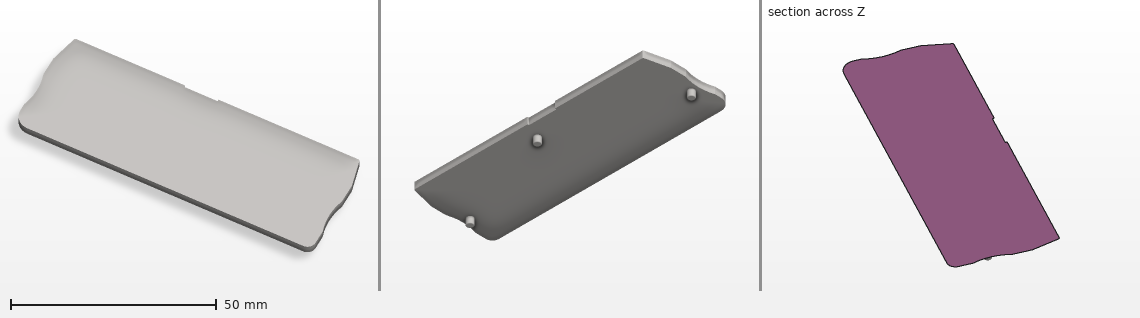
import cadquery as cq

length = 81.8
width = 29.0
total_height = 4.4
plate_thickness = 2.3
front_left_radius = 4.0
front_right_radius = 2.2
back_corner_radius = 0.4

taper_inset = 1.9
taper_start_y = 21.3
recess_center_y = 11.05
recess_chord = 10.15
recess_depth = 0.8

notch_start_x = 31.9
notch_length = 9.3
notch_depth = 0.5

peg_diameter = 2.2
peg_rounding = 0.25
peg_inset = 3.2
end_peg_y = 11.0
middle_peg_x = 43.3
middle_peg_y = 23.55
peg_height = total_height - plate_thickness


def make_plate():
    recess_front_y = recess_center_y - recess_chord / 2
    recess_back_y = recess_center_y + recess_chord / 2
    plate = (
        cq.Workplane("XY")
        .moveTo(0, 0)
        .lineTo(length, 0)
        .lineTo(length, recess_front_y)
        .threePointArc((length - recess_depth, recess_center_y), (length, recess_back_y))
        .lineTo(length, taper_start_y)
        .lineTo(length - taper_inset, width)
        .lineTo(taper_inset, width)
        .lineTo(0, taper_start_y)
        .lineTo(0, recess_back_y)
        .threePointArc((recess_depth, recess_center_y), (0, recess_front_y))
        .close()
        .extrude(plate_thickness)
    )
    front_corners = [(0, front_left_radius), (length, front_right_radius)]
    for corner_x, radius in front_corners:
        corner = cq.selectors.NearestToPointSelector((corner_x, 0, plate_thickness / 2))
        plate = plate.edges(corner).fillet(radius)
    return plate.edges("|Z and >Y").fillet(back_corner_radius)


def make_notch():
    return (
        cq.Workplane("XY", origin=(notch_start_x, width - notch_depth, 0))
        .box(notch_length, notch_depth, plate_thickness, centered=False)
    )


def make_pegs():
    peg_places = [
        (peg_inset, end_peg_y),
        (middle_peg_x, middle_peg_y),
        (length - peg_inset, end_peg_y),
    ]
    return (
        cq.Workplane("XY", origin=(0, 0, -peg_height))
        .pushPoints(peg_places)
        .circle(peg_diameter / 2)
        .extrude(peg_height)
        .faces("<Z")
        .edges()
        .fillet(peg_rounding)
    )


result = make_plate().cut(make_notch()).union(make_pegs())